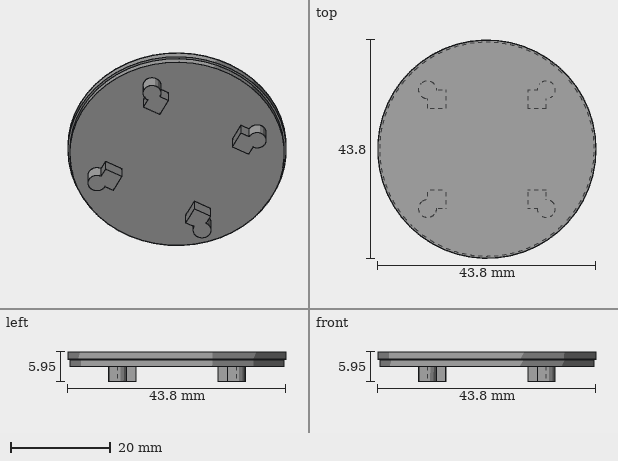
import cadquery as cq

cap_diameter = 43.8
base_diameter = 43.0
cap_thickness = 1.5
base_thickness = 1.35
cap_gap = 0.1
foot_height = 3.0
post_radius = 1.8
post_offset = 11.9
block_inner_offset = 8.2

cap_bottom = foot_height + base_thickness + cap_gap
block_side = post_offset - block_inner_offset
block_center = (post_offset + block_inner_offset) / 2


def make_cap():
    """Plain round cap held just clear of the base disc."""
    return cq.Workplane("XY").workplane(offset=cap_bottom).circle(cap_diameter / 2).extrude(cap_thickness)


def make_foot(side_x, side_y):
    """Round post with a square block that runs from its axis toward the disc centre."""
    post = (
        cq.Workplane("XY")
        .center(side_x * post_offset, side_y * post_offset)
        .circle(post_radius)
        .extrude(foot_height)
    )
    block = (
        cq.Workplane("XY")
        .center(side_x * block_center, side_y * block_center)
        .rect(block_side, block_side)
        .extrude(foot_height)
    )
    return post.union(block)


def make_base():
    """Base disc standing on four feet, one in each quadrant."""
    base = cq.Workplane("XY").workplane(offset=foot_height).circle(base_diameter / 2).extrude(base_thickness)
    for side_x in (-1, 1):
        for side_y in (-1, 1):
            base = base.union(make_foot(side_x, side_y))
    return base


cap = make_cap()
base = make_base()
result = cq.Compound.makeCompound([cap.val(), base.val()])